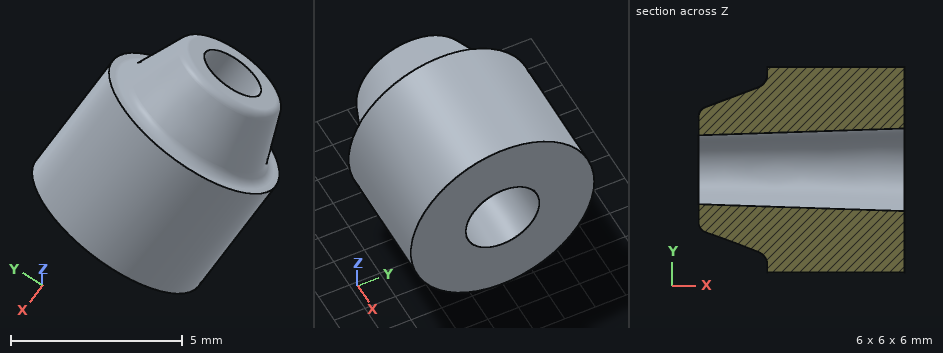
import cadquery as cq

length = 6.0
body_radius = length / 2
nose_length = length / 3
bore_tip_radius = length / 6
bore_rear_radius = 1.2

tip_radius = 1.75
nose_base_radius = 2.5
tip_rounding = 0.3
shoulder_fillet = 0.4


def revolved_body():
    """Solid of revolution: conical nose on the -X end of a cylinder."""
    profile = [
        (0, 0),
        (0, tip_radius),
        (nose_length, nose_base_radius),
        (nose_length, body_radius),
        (length, body_radius),
        (length, 0),
    ]
    return cq.Workplane("XY").polyline(profile).close().revolve(360, (0, 0, 0), (1, 0, 0))


def circle_at(x, radius):
    """Selector for the circular edge of the given radius at position x."""
    margin = 0.005
    reach = radius + margin
    return cq.selectors.BoxSelector(
        (x - margin, -reach, -reach), (x + margin, reach, reach), boundingbox=True
    )


body = revolved_body()
body = body.edges(circle_at(0, tip_radius)).fillet(tip_rounding)
body = body.edges(circle_at(nose_length, nose_base_radius)).fillet(shoulder_fillet)

bore_tip = cq.Workplane("YZ").circle(bore_tip_radius)
bore = bore_tip.workplane(offset=length).circle(bore_rear_radius).loft(ruled=True)
result = body.cut(bore)